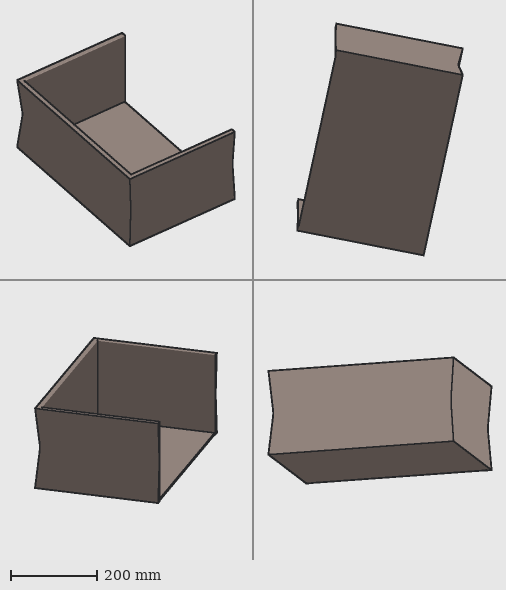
import cadquery as cq
import math

WIDTH = 450.02
DEPTH = 300.01
HEIGHT = 200.17

PANEL_THICKNESS = 13.0
WAIST_INSET = 8.3
WAIST_HEIGHT = 20.0
RIM_HEIGHT = 1.6
EDGE_RADIUS = 1.2

FLOOR_THICKNESS = 4.0
FLOOR_BACK_GAP = 1.5

LEFT = -WIDTH / 2
RIGHT = WIDTH / 2
FRONT = -DEPTH / 2
BACK = DEPTH / 2
BOTTOM = -HEIGHT / 2
TOP = HEIGHT / 2

HALF_WAIST = WAIST_HEIGHT / 2
LEAN_ANGLE = math.atan2(WAIST_INSET, TOP - HALF_WAIST)
WAIST_BULGE = HALF_WAIST * math.tan(LEAN_ANGLE / 2)


def waisted_slab(plane, outer, far, length):
    """Slab from `outer`, the waisted face's rim, to the flat face at `far`, centred along its length."""
    inward = math.copysign(1, far - outer)
    waist_edge = outer + inward * WAIST_INSET
    waist_middle = waist_edge + inward * WAIST_BULGE
    return (
        cq.Workplane(plane)
        .moveTo(outer, BOTTOM)
        .lineTo(outer, BOTTOM + RIM_HEIGHT)
        .lineTo(waist_edge, -HALF_WAIST)
        .threePointArc((waist_middle, 0), (waist_edge, HALF_WAIST))
        .lineTo(outer, TOP)
        .lineTo(far, TOP)
        .lineTo(far, BOTTOM)
        .close()
        .extrude(length / 2, both=True)
    )


def front_panel():
    return waisted_slab("YZ", FRONT, FRONT + PANEL_THICKNESS, WIDTH)


def left_panel():
    return waisted_slab("XZ", LEFT, LEFT + PANEL_THICKNESS, DEPTH)


def floor_panel():
    return cq.Workplane("XY").box(
        WIDTH - 2 * PANEL_THICKNESS,
        DEPTH - PANEL_THICKNESS - FLOOR_BACK_GAP,
        FLOOR_THICKNESS,
        centered=(True, False, False),
    ).translate((0, FRONT + PANEL_THICKNESS, BOTTOM))


def waisted_envelope():
    """Space inside the three waisted outside faces, so the waists meet at the front corners."""
    from_front = waisted_slab("YZ", FRONT, BACK, WIDTH)
    from_left = waisted_slab("XZ", LEFT, RIGHT, DEPTH)
    from_right = from_left.mirror("YZ")
    return from_front.intersect(from_left).intersect(from_right)


def round_top_inside(body):
    """Round the three top edges that border the opening."""
    opening = cq.selectors.BoxSelector(
        (LEFT + PANEL_THICKNESS - EDGE_RADIUS, FRONT + PANEL_THICKNESS - EDGE_RADIUS, TOP - EDGE_RADIUS),
        (RIGHT - PANEL_THICKNESS + EDGE_RADIUS, BACK, TOP + EDGE_RADIUS),
    )
    return body.edges(opening).fillet(EDGE_RADIUS)


side = left_panel()
walls = front_panel().union(side).union(side.mirror("YZ"))
box = walls.intersect(waisted_envelope()).union(floor_panel())
result = round_top_inside(box)